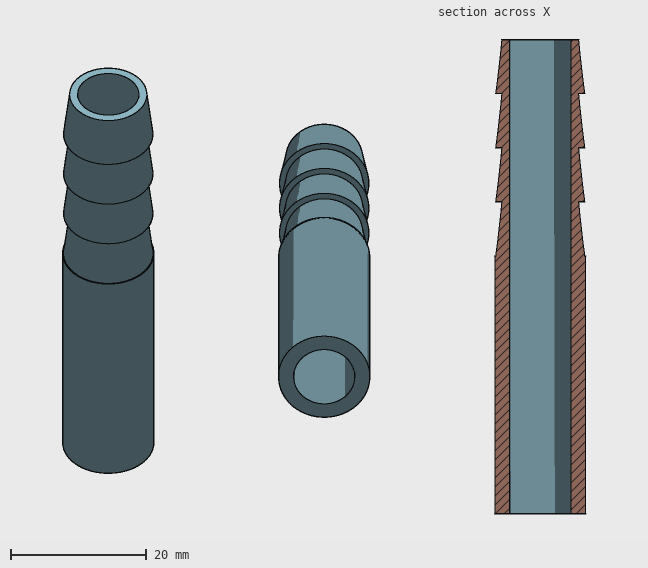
import cadquery as cq

total_height = 70.0
tube_diameter = 13.5
bore_diameter = 9.0
barb_count = 4
barb_pitch = 8.0
barb_base_diameter = 13.2
barb_tip_diameter = 11.4

tube_height = total_height - barb_count * barb_pitch


def make_tube():
    return cq.Workplane("XY").circle(tube_diameter / 2).extrude(tube_height)


def make_barb(base_height):
    """Cone that narrows upward, leaving a sharp step at its base."""
    base_radius = barb_base_diameter / 2
    tip_radius = barb_tip_diameter / 2
    cone = cq.Solid.makeCone(base_radius, tip_radius, barb_pitch)
    return cq.Workplane(cone).translate((0, 0, base_height))


body = make_tube()
for index in range(barb_count):
    body = body.union(make_barb(tube_height + index * barb_pitch))

bore = cq.Workplane("XY").circle(bore_diameter / 2).extrude(total_height)
result = body.cut(bore)